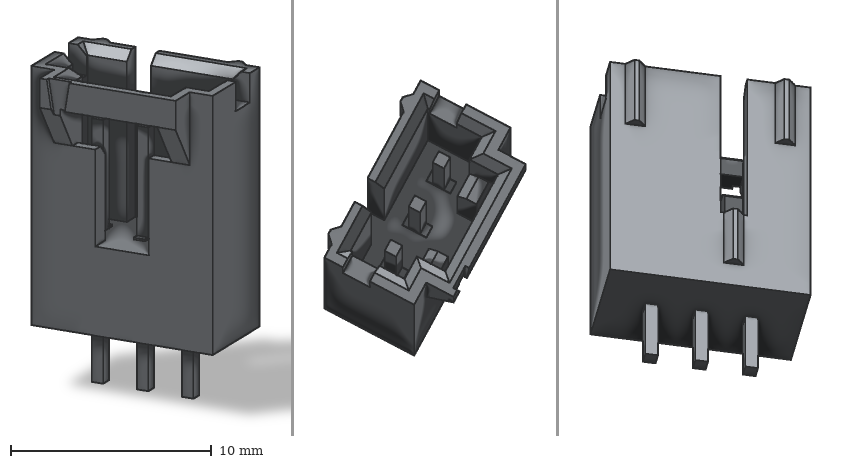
import cadquery as cq

WIDTH = 10.17
DEPTH = 5.07
HEIGHT = 13.6
FLOOR_HEIGHT = 4.68
SIDE_WALL = 1.01
REAR_WALL = 0.95
FRONT_WALL = 1.08
LEAD_IN = 0.5

LATCH_WIDTH = 7.62
LATCH_REACH = 1.54
LATCH_FACE_HEIGHT = 1.54
LATCH_HEIGHT = 3.83
LATCH_SIDE_WALL = 1.03
LATCH_FRONT_WALL = 1.01

FRONT_SLOT_WIDTH = 3.0
REAR_SLOT_WIDTH = 1.35
REAR_SLOT_X = -1.2
SIDE_NOTCH_WIDTH = 1.52
SIDE_NOTCH_DEPTH = 1.54
SIDE_NOTCH_Y = 0.73

MARK_X = -2.79
MARK_TOP_WIDTH = 1.27
MARK_BOTTOM_WIDTH = 0.6
MARK_HEIGHT = 2.03
MARK_DEPTH = 0.22

RIB_HEIGHT = 0.39
RIB_CREST_WIDTH = 0.24
UPPER_RIB_X = 3.8
UPPER_RIB_LENGTH = 3.94
LOWER_RIB_LENGTH = 3.3

PIN_PITCH = 2.53
PIN_SIZE = 0.65
PIN_TAIL = 3.3
PIN_TOP_GAP = 3.05
PAD_LENGTH = 0.35
PAD_HEIGHT = 0.1

FRONT_Y = -DEPTH / 2
REAR_Y = DEPTH / 2
LATCH_Y = FRONT_Y - LATCH_REACH
CAVITY_FRONT_Y = FRONT_Y + FRONT_WALL
CAVITY_REAR_Y = REAR_Y - REAR_WALL
CAVITY_WIDTH = WIDTH - 2 * SIDE_WALL
PASSAGE_WIDTH = LATCH_WIDTH - 2 * LATCH_SIDE_WALL
PASSAGE_FRONT_Y = LATCH_Y + LATCH_FRONT_WALL
LATCH_FACE_Z = HEIGHT - LATCH_FACE_HEIGHT
SILL_Z = HEIGHT - LATCH_HEIGHT
PIN_XS = [-PIN_PITCH, 0, PIN_PITCH]


def box(x_range, y_range, z_range):
    """Axis-aligned block between the given limits."""
    (x0, x1), (y0, y1), (z0, z1) = x_range, y_range, z_range
    return cq.Workplane("XY").box(x1 - x0, y1 - y0, z1 - z0, centered=False).translate((x0, y0, z0))


def centred(width, middle=0):
    """Limits of a span of the given width."""
    return (middle - width / 2, middle + width / 2)


def latch_block():
    """Overhang with a vertical face above and a slope back to the front wall below."""
    profile = [(CAVITY_FRONT_Y, HEIGHT), (LATCH_Y, HEIGHT), (LATCH_Y, LATCH_FACE_Z),
               (FRONT_Y, SILL_Z), (CAVITY_FRONT_Y, SILL_Z)]
    outline = cq.Workplane("YZ").polyline(profile).close()
    return outline.extrude(LATCH_WIDTH / 2, both=True)


def mouth_outline(growth, z):
    """T-shaped outline of cavity and latch passage, grown outwards on every side."""
    cavity_x = CAVITY_WIDTH / 2 + growth
    passage_x = PASSAGE_WIDTH / 2 + growth
    rear_y = CAVITY_REAR_Y + growth
    step_y = CAVITY_FRONT_Y - growth
    passage_y = PASSAGE_FRONT_Y - growth
    points = [(cavity_x, rear_y), (-cavity_x, rear_y), (-cavity_x, step_y), (-passage_x, step_y),
              (-passage_x, passage_y), (passage_x, passage_y), (passage_x, step_y), (cavity_x, step_y)]
    vertices = [cq.Vector(x, y, z) for x, y in points]
    return cq.Wire.makePolygon(vertices, close=True)


def lead_in():
    """Flared mouth, 45 degrees on every side."""
    lower = mouth_outline(0, HEIGHT - LEAD_IN)
    upper = mouth_outline(LEAD_IN, HEIGHT)
    return cq.Workplane(obj=cq.Solid.makeLoft([lower, upper], True))


def cavity():
    return box(centred(CAVITY_WIDTH), (CAVITY_FRONT_Y, CAVITY_REAR_Y), (FLOOR_HEIGHT, HEIGHT))


def latch_passage():
    """Space behind the latch bridge, open downwards in front of the wall."""
    return box(centred(PASSAGE_WIDTH), (PASSAGE_FRONT_Y, CAVITY_FRONT_Y), (SILL_Z, HEIGHT))


def latch_window():
    """Opening below the latch bridge."""
    return box(centred(PASSAGE_WIDTH), (LATCH_Y, CAVITY_FRONT_Y), (SILL_Z, LATCH_FACE_Z))


def sill_chamfer():
    """Inner edge of the low front wall, below the window."""
    profile = [(CAVITY_FRONT_Y, SILL_Z - LEAD_IN), (CAVITY_FRONT_Y, SILL_Z),
               (CAVITY_FRONT_Y - LEAD_IN, SILL_Z)]
    return cq.Workplane("YZ").polyline(profile).close().extrude(PASSAGE_WIDTH / 2, both=True)


def front_slot():
    return box(centred(FRONT_SLOT_WIDTH), (FRONT_Y, CAVITY_FRONT_Y), (FLOOR_HEIGHT, SILL_Z))


def rear_slot():
    return box(centred(REAR_SLOT_WIDTH, REAR_SLOT_X), (CAVITY_REAR_Y, REAR_Y), (FLOOR_HEIGHT, HEIGHT))


def side_notches():
    """One straight cut across both side walls."""
    return box(centred(WIDTH), centred(SIDE_NOTCH_WIDTH, SIDE_NOTCH_Y), (HEIGHT - SIDE_NOTCH_DEPTH, HEIGHT))


def pin_one_mark():
    top_left, top_right = centred(MARK_TOP_WIDTH, MARK_X)
    bottom_left, bottom_right = centred(MARK_BOTTOM_WIDTH, MARK_X)
    bottom_z = HEIGHT - MARK_HEIGHT
    profile = [(top_left, HEIGHT), (top_right, HEIGHT), (bottom_right, bottom_z), (bottom_left, bottom_z)]
    plane = cq.Workplane("XZ", origin=(0, LATCH_Y, 0))
    return plane.polyline(profile).close().extrude(-MARK_DEPTH)


def rib(x, top_z, length):
    """Rib on the rear face, running down from top_z."""
    crest_left, crest_right = centred(RIB_CREST_WIDTH)
    base_left, base_right = centred(RIB_CREST_WIDTH + 2 * RIB_HEIGHT)
    profile = [(base_left, 0), (crest_left, RIB_HEIGHT), (crest_right, RIB_HEIGHT), (base_right, 0)]
    plane = cq.Workplane("XY", origin=(x, REAR_Y, top_z))
    return plane.polyline(profile).close().extrude(-length)


def make_pin(x):
    return box(centred(PIN_SIZE, x), centred(PIN_SIZE), (-PIN_TAIL, HEIGHT - PIN_TOP_GAP))


def make_pad(x, side):
    """Pad on the floor, against the front (side -1) or the rear (side 1) of a pin."""
    middle_y = side * (PIN_SIZE + PAD_LENGTH) / 2
    return box(centred(PIN_SIZE, x), centred(PAD_LENGTH, middle_y), (FLOOR_HEIGHT, FLOOR_HEIGHT + PAD_HEIGHT))


def make_housing():
    body = box(centred(WIDTH), centred(DEPTH), (0, HEIGHT)).union(latch_block())
    for x in (-UPPER_RIB_X, UPPER_RIB_X):
        body = body.union(rib(x, HEIGHT, UPPER_RIB_LENGTH))
    body = body.union(rib(REAR_SLOT_X, FLOOR_HEIGHT, LOWER_RIB_LENGTH))
    openings = [cavity(), latch_passage(), lead_in(), latch_window(), sill_chamfer(),
                front_slot(), rear_slot(), side_notches(), pin_one_mark()]
    for opening in openings:
        body = body.cut(opening)
    for x in PIN_XS:
        body = body.cut(make_pin(x))
    return body


housing = make_housing()
pins = [make_pin(x).val() for x in PIN_XS]
pads = [make_pad(x, side).val() for x in PIN_XS for side in (-1, 1)]

result = cq.Compound.makeCompound([housing.val(), *pins, *pads])